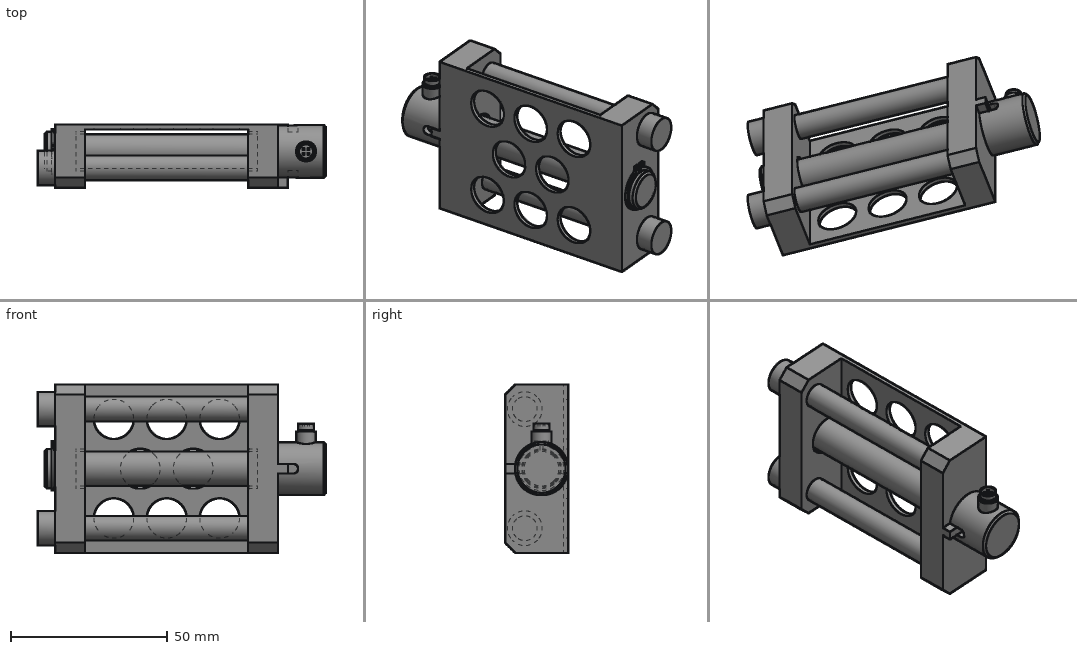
import cadquery as cq
import math

FRAME_LENGTH = 71.37
FRAME_DEPTH = 20.32
FRAME_HEIGHT = 53.98
LEG_THICKNESS = 9.6
BACK_PLATE_THICKNESS = 1.65
LEG_CHAMFER = 3.3

WINDOW_DIAMETER = 12.7
WINDOW_PITCH_X = 16.93
WINDOW_PITCH_Z = 15.875

BOLT_DIAMETER = 7.94
BOLT_HEAD_DIAMETER = 11.12
BOLT_HEAD_HEIGHT = 5.64
BOLT_DEPTH = 13.97
BOLT_OFFSET_Z = 19.05

PIN_DEPTH = 8.64
PIN_DIAMETER = 11.1
PIN_JOURNAL_DIAMETER = 12.62
PIN_BORE_DIAMETER = 12.7
PIN_BORE_RELIEF_DEPTH = 3.0
PIN_STICK_OUT = 3.35
PIN_END_CHAMFER = 0.76
PIN_GROOVE_DIAMETER = 11.89

RING_THICKNESS = 0.89
RING_CLEARANCE = 0.25
RING_OUTER_RADIUS = 7.2
RING_OFFSET_Z = 0.15
LUG_TOP = 8.85
LUG_HALF_WIDTH = 2.27
LUG_FILLET = 1.0
LUG_HALF_GAP = 0.5
LUG_HOLE_DIAMETER = 0.89
LUG_HOLE_OFFSET = 1.3
LUG_HOLE_HEIGHT = 7.9

HEAD_DIAMETER = 17.02
HEAD_LENGTH = 15.26
HEAD_END_CHAMFER = 0.76

SLOT_WIDTH = 3.1
SLOT_LENGTH = 6.35
SLOT_DEPTH = 2.5
KEY_LENGTH = 3.1

CONNECTOR_OFFSET = 8.9
CONNECTOR_X = FRAME_LENGTH + CONNECTOR_OFFSET
CONNECTOR_BASE_DIAMETER = 6.35
CONNECTOR_BASE_TOP = 11.87
CONNECTOR_NECK_DIAMETER = 5.21
CONNECTOR_TOP = 14.4
CONNECTOR_BORE_DIAMETER = 4.57
CONNECTOR_BORE_DEPTH = 2.0
CONTACT_DIAMETER = 0.64
CONTACT_OFFSET = 0.76
CONTACT_RECESS = 0.5

GAP_START = LEG_THICKNESS
GAP_END = FRAME_LENGTH - LEG_THICKNESS
GAP_LENGTH = GAP_END - GAP_START


def box(x_range, y_range, z_range):
    """Box spanning the given (low, high) ranges."""
    corner_low = cq.Vector(x_range[0], y_range[0], z_range[0])
    size = [high - low for low, high in (x_range, y_range, z_range)]
    return cq.Workplane(cq.Solid.makeBox(*size, corner_low))


def cylinder_x(diameter, x_start, x_end, y, z=0):
    """Cylinder along X."""
    start = cq.Vector(x_start, y, z)
    return cq.Workplane(cq.Solid.makeCylinder(diameter / 2, x_end - x_start, start, cq.Vector(1, 0, 0)))


def cylinder_z(diameter, z_start, z_end, x, y):
    """Cylinder along Z."""
    start = cq.Vector(x, y, z_start)
    return cq.Workplane(cq.Solid.makeCylinder(diameter / 2, z_end - z_start, start))


def make_frame():
    """U-shaped frame: two legs, counterbored around the pin, joined by a perforated back plate."""
    half_height = FRAME_HEIGHT / 2
    frame = box((0, FRAME_LENGTH), (-FRAME_DEPTH, 0), (-half_height, half_height))
    frame = frame.faces("<Y").edges("|X").chamfer(LEG_CHAMFER)
    frame = frame.cut(box(
        (GAP_START, GAP_END),
        (-FRAME_DEPTH, -BACK_PLATE_THICKNESS),
        (-half_height, half_height),
    ))

    middle = GAP_START + GAP_LENGTH / 2
    for row, count in ((-1, 3), (0, 2), (1, 3)):
        for index in range(count):
            x = middle + (index - (count - 1) / 2) * WINDOW_PITCH_X
            center = cq.Vector(x, 0, row * WINDOW_PITCH_Z)
            window = cq.Solid.makeCylinder(
                WINDOW_DIAMETER / 2, BACK_PLATE_THICKNESS, center, cq.Vector(0, -1, 0)
            )
            frame = frame.cut(cq.Workplane(window))

    for x in (GAP_START - PIN_BORE_RELIEF_DEPTH, GAP_END):
        relief = cylinder_x(PIN_BORE_DIAMETER, x, x + PIN_BORE_RELIEF_DEPTH, -PIN_DEPTH)
        frame = frame.cut(relief)
    return frame


def make_bolt(z):
    """Bolt with its head on the left leg and its shank ending in the right leg."""
    head = cylinder_x(BOLT_HEAD_DIAMETER, -BOLT_HEAD_HEIGHT, 0, -BOLT_DEPTH, z)
    shank = cylinder_x(BOLT_DIAMETER, 0, FRAME_LENGTH, -BOLT_DEPTH, z)
    return head.union(shank)


def make_pin():
    """Load pin between the legs, with a grooved and chamfered end on the left."""
    ring_face = -RING_CLEARANCE - RING_THICKNESS
    end = cylinder_x(PIN_JOURNAL_DIAMETER, -PIN_STICK_OUT, ring_face, -PIN_DEPTH)
    end = end.faces("<X").chamfer(PIN_END_CHAMFER)
    groove = cylinder_x(PIN_GROOVE_DIAMETER, ring_face, 0, -PIN_DEPTH)
    body = cylinder_x(PIN_DIAMETER, 0, FRAME_LENGTH, -PIN_DEPTH)
    return end.union(groove).union(body)


def make_retaining_ring():
    """Open retaining ring with two drilled lugs, seated in the pin groove."""
    x_range = (-RING_CLEARANCE - RING_THICKNESS, -RING_CLEARANCE)
    lugs = box(x_range, (-PIN_DEPTH - LUG_HALF_WIDTH, -PIN_DEPTH + LUG_HALF_WIDTH), (0, LUG_TOP))
    ring = cylinder_x(2 * RING_OUTER_RADIUS, *x_range, -PIN_DEPTH, RING_OFFSET_Z).union(lugs)
    root_height = RING_OFFSET_Z + math.sqrt(RING_OUTER_RADIUS**2 - LUG_HALF_WIDTH**2)
    for side in (-1, 1):
        root = (x_range[0], -PIN_DEPTH + side * LUG_HALF_WIDTH, root_height)
        ring = ring.edges("|X").edges(cq.selectors.NearestToPointSelector(root)).fillet(LUG_FILLET)
    ring = ring.cut(box(x_range, (-PIN_DEPTH - LUG_HALF_GAP, -PIN_DEPTH + LUG_HALF_GAP), (0, LUG_TOP)))
    for side in (-1, 1):
        y = -PIN_DEPTH + side * LUG_HOLE_OFFSET
        ring = ring.cut(cylinder_x(LUG_HOLE_DIAMETER, *x_range, y, LUG_HOLE_HEIGHT))
    return ring


def make_head():
    """Pin head with a key slot at its front and back."""
    head_end = FRAME_LENGTH + HEAD_LENGTH
    head = cylinder_x(HEAD_DIAMETER, FRAME_LENGTH, head_end, -PIN_DEPTH)
    head = head.faces(">X").chamfer(HEAD_END_CHAMFER)

    radius = SLOT_WIDTH / 2
    slot = (
        cq.Workplane("XZ", origin=(FRAME_LENGTH, 0, 0))
        .moveTo(0, -radius)
        .lineTo(SLOT_LENGTH - radius, -radius)
        .threePointArc((SLOT_LENGTH, 0), (SLOT_LENGTH - radius, radius))
        .lineTo(0, radius)
        .close()
        .extrude(SLOT_DEPTH)
    )
    head = head.cut(slot)
    return head.cut(slot.translate((0, SLOT_DEPTH - 2 * PIN_DEPTH, 0)))


def make_keys():
    """Keys that reach from the frame into the head slots."""
    x_range = (FRAME_LENGTH, FRAME_LENGTH + KEY_LENGTH)
    z_range = (-SLOT_WIDTH / 2, SLOT_WIDTH / 2)
    slot_floor = 2 * PIN_DEPTH - SLOT_DEPTH
    front = box(x_range, (-FRAME_DEPTH, -slot_floor), z_range)
    back = box(x_range, (-SLOT_DEPTH, 0), z_range)
    return front.union(back)


def make_connector():
    """Stepped connector with four contacts at the bottom of its bore."""
    at = (CONNECTOR_X, -PIN_DEPTH)
    connector = cylinder_z(CONNECTOR_BASE_DIAMETER, 0, CONNECTOR_BASE_TOP, *at)
    connector = connector.union(cylinder_z(CONNECTOR_NECK_DIAMETER, 0, CONNECTOR_TOP, *at))
    floor = CONNECTOR_TOP - CONNECTOR_BORE_DEPTH
    connector = connector.cut(cylinder_z(CONNECTOR_BORE_DIAMETER, floor, CONNECTOR_TOP, *at))
    for side_x in (-1, 1):
        for side_y in (-1, 1):
            x = CONNECTOR_X + side_x * CONTACT_OFFSET
            y = -PIN_DEPTH + side_y * CONTACT_OFFSET
            contact = cylinder_z(CONTACT_DIAMETER, floor, CONNECTOR_TOP - CONTACT_RECESS, x, y)
            connector = connector.union(contact)
    return connector


result = make_frame()
for bolt_z in (-BOLT_OFFSET_Z, BOLT_OFFSET_Z):
    result = result.union(make_bolt(bolt_z))
result = result.union(make_pin()).union(make_retaining_ring())
result = result.union(make_head()).union(make_keys()).union(make_connector())